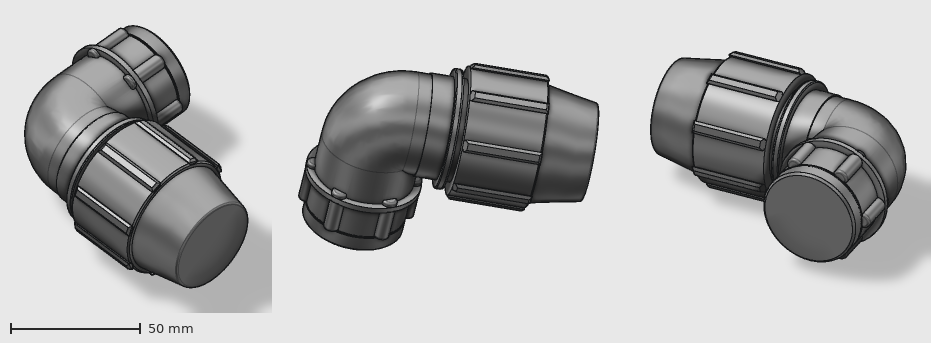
import cadquery as cq
import math


overall_length = 105.6
overall_width = 75.4
overall_height = 50.8

body_radius = 39.4 / 2
bend_radius = 12.0

flange_radius = 45.3 / 2

socket_radius = 40.5 / 2
socket_start = 17.3
collar_radius = 47.0 / 2
collar_start = 26.0
collar_width = 2.3
collar_chamfer = 0.4
collar_step_width = 0.6
collar_step_drop = 0.2
main_end = overall_length - flange_radius

nut_radius = 25.2
nut_start = 31.4
nut_end = 62.2
nut_chamfer = 0.6
taper_start_radius = 23.2
taper_end_radius = 19.2
end_fillet = 0.8
nut_rib_count = 8
nut_rib_tip = 26.9
nut_rib_half_width = 1.4
nut_rib_bevel = 1.1
nut_rib_ramp = 1.7
nut_rib_end_chamfer = 1.0

branch_end = overall_width - overall_height / 2
branch_chamfer = 1.0
groove_start = 43.0
groove_width = 0.6
groove_depth = 0.4
flange_start = 27.0
flange_width = 2.2

pin_count = 6
pin_radius = 6.2 / 2
pin_rim_gap = 0.03
pin_circle_radius = flange_radius - pin_radius - pin_rim_gap
pin_start = 25.2
pin_end_fillet = 1.0


def main_cylinder(radius, start, end):
    return cq.Workplane("YZ", origin=(start, 0, 0)).circle(radius).extrude(end - start)


def branch_cylinder(radius, start, end):
    return cq.Workplane("XZ", origin=(0, start, 0)).circle(radius).extrude(start - end)


def make_bend():
    """Quarter turn that joins the arms; the section is cut off at the bend axis."""
    half_height = math.sqrt(body_radius**2 - bend_radius**2)
    section = (
        cq.Workplane("XZ", origin=(0, bend_radius, 0))
        .moveTo(bend_radius, -half_height)
        .threePointArc((-body_radius, 0), (bend_radius, half_height))
        .close()
    )
    return section.revolve(90, (bend_radius, 0, 0), (bend_radius, 1, 0))


def make_main_arm():
    pipe = main_cylinder(body_radius, bend_radius, socket_start)
    socket = main_cylinder(socket_radius, socket_start, nut_start)
    collar_end = collar_start + collar_width
    collar = main_cylinder(collar_radius, collar_start, collar_end)
    collar = collar.faces("<X").chamfer(collar_chamfer)
    step_radius = collar_radius - collar_step_drop
    step = main_cylinder(step_radius, collar_end, collar_end + collar_step_width)
    return pipe.union(socket).union(collar).union(step)


def make_nut_rib():
    """One rib on the +Z side: bevelled flanks, ramped front and chamfered rear end."""
    widest = nut_rib_tip - nut_rib_bevel
    widest_half_width = nut_rib_half_width + nut_rib_bevel
    foot = widest - nut_rib_bevel
    bar = (
        cq.Workplane("YZ", origin=(nut_start, 0, 0))
        .polyline([
            (-nut_rib_half_width, foot),
            (-widest_half_width, widest),
            (-nut_rib_half_width, nut_rib_tip),
            (nut_rib_half_width, nut_rib_tip),
            (widest_half_width, widest),
            (nut_rib_half_width, foot),
        ])
        .close()
        .extrude(nut_end - nut_start)
    )
    side_outline = (
        cq.Workplane("XZ")
        .polyline([
            (nut_start, foot),
            (nut_start, nut_rib_tip - nut_rib_ramp),
            (nut_start + nut_rib_ramp, nut_rib_tip),
            (nut_end - nut_rib_end_chamfer, nut_rib_tip),
            (nut_end, nut_rib_tip - nut_rib_end_chamfer),
            (nut_end, foot),
        ])
        .close()
        .extrude(widest_half_width, both=True)
    )
    return bar.intersect(side_outline)


def make_nut():
    nut = (
        cq.Workplane("XY")
        .polyline([
            (nut_start, 0),
            (nut_start, nut_radius),
            (nut_end - nut_chamfer, nut_radius),
            (nut_end, nut_radius - nut_chamfer),
            (nut_end, taper_start_radius),
            (main_end, taper_end_radius),
            (main_end, 0),
        ])
        .close()
        .revolve(360, (0, 0, 0), (1, 0, 0))
        .faces(">X")
        .edges()
        .fillet(end_fillet)
    )
    rib = make_nut_rib()
    rib_pitch = 360 / nut_rib_count
    for index in range(nut_rib_count):
        nut = nut.union(rib.rotate((0, 0, 0), (1, 0, 0), (index + 0.5) * rib_pitch))
    return nut


def make_branch_arm():
    arm = branch_cylinder(body_radius, bend_radius, branch_end)
    arm = arm.faces(">Y").chamfer(branch_chamfer)
    groove_end = groove_start + groove_width
    groove = branch_cylinder(flange_radius, groove_start, groove_end).cut(
        branch_cylinder(body_radius - groove_depth, groove_start, groove_end)
    )
    arm = arm.union(branch_cylinder(flange_radius, flange_start, flange_start + flange_width))
    pin = (
        branch_cylinder(pin_radius, pin_start, groove_start)
        .edges()
        .fillet(pin_end_fillet)
        .translate((pin_circle_radius, 0, 0))
    )
    for index in range(pin_count):
        arm = arm.union(pin.rotate((0, 0, 0), (0, 1, 0), index * 360 / pin_count))
    return arm.cut(groove)


result = make_bend().union(make_main_arm()).union(make_nut()).union(make_branch_arm())